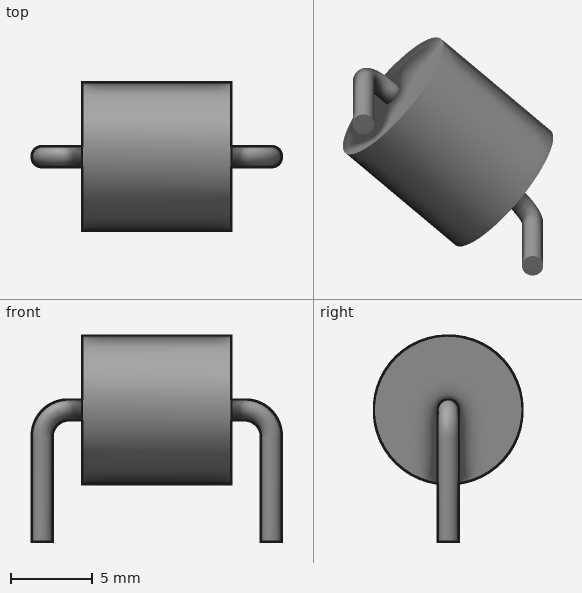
import cadquery as cq

overall_length = 15.3
overall_height = 12.6
body_diameter = 9.1
body_length = 9.1
lead_diameter = 1.3
bend_radius = 1.6

lead_offset = (overall_length - lead_diameter) / 2
lead_tip_z = body_diameter / 2 - overall_height
bend_start_x = lead_offset - bend_radius


def make_body():
    """Solid cylinder lying along X."""
    end_face = cq.Workplane("YZ", origin=(-body_length / 2, 0, 0)).circle(body_diameter / 2)
    return end_face.extrude(body_length)


def make_leads():
    """One round wire through the body axis, bent down at both ends."""
    path = (
        cq.Workplane("XZ")
        .moveTo(-lead_offset, lead_tip_z)
        .lineTo(-lead_offset, -bend_radius)
        .radiusArc((-bend_start_x, 0), bend_radius)
        .lineTo(bend_start_x, 0)
        .radiusArc((lead_offset, -bend_radius), bend_radius)
        .lineTo(lead_offset, lead_tip_z)
    )
    tip = cq.Workplane("XY", origin=(-lead_offset, 0, lead_tip_z)).circle(lead_diameter / 2)
    return tip.sweep(path)


result = make_body().union(make_leads())